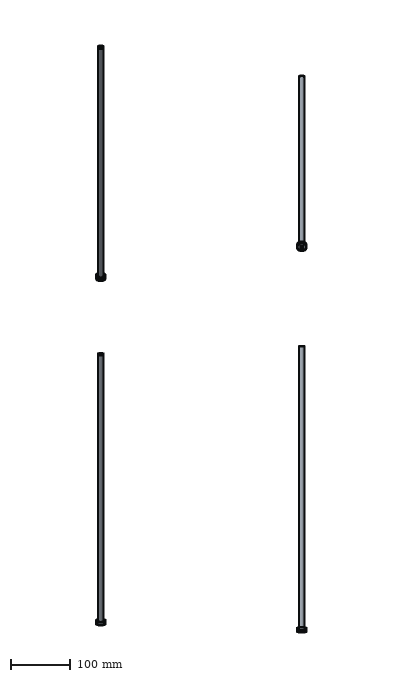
import cadquery as cq

overall_length = 500.0
head_diameter = 16.0
head_thickness = 5.0
shank_diameter = 10.0
bore_diameter = 5.0


def cylinder(diameter, height):
    """Cylinder on the Z axis, rising from Z = 0."""
    return cq.Workplane("XY").circle(diameter / 2).extrude(height)


head = cylinder(head_diameter, head_thickness)
shank = cylinder(shank_diameter, overall_length)
bore = cylinder(bore_diameter, overall_length)

result = head.union(shank).cut(bore)